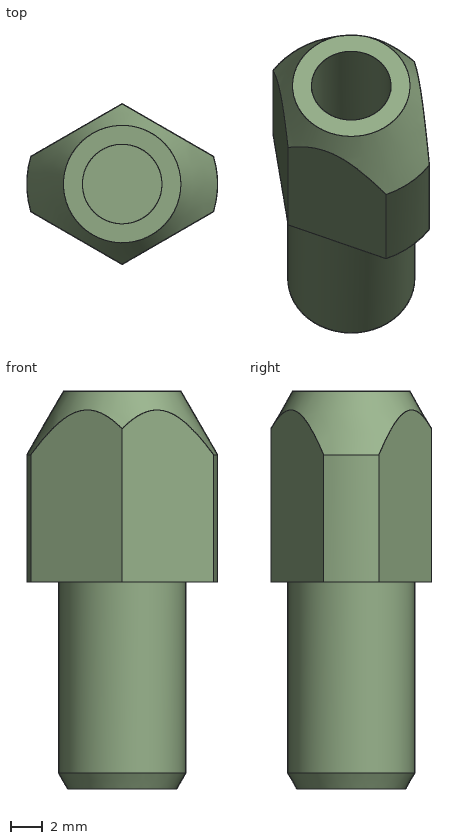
import cadquery as cq
import math

total_height = 25.0
shank_radius = 4.0
shank_length = 13.0
shank_chamfer_height = 1.0
head_radius = 6.0
head_cone_height = 4.0
taper_angle = math.radians(30)
flats_width = 8.75
flat_angle = math.radians(30)
bore_radius = 2.5
bore_depth = 10.0

shank_tip_radius = shank_radius - shank_chamfer_height * math.tan(taper_angle)
head_top_radius = head_radius - head_cone_height * math.tan(taper_angle)


def make_turned_body():
    """Round shank and cone-topped head, revolved about Z."""
    profile = [
        (0, 0),
        (shank_tip_radius, 0),
        (shank_radius, shank_chamfer_height),
        (shank_radius, shank_length),
        (head_radius, shank_length),
        (head_radius, total_height - head_cone_height),
        (head_top_radius, total_height),
        (0, total_height),
    ]
    return cq.Workplane("XZ").polyline(profile).close().revolve(360, (0, 0), (0, 1))


def make_flats_prism():
    """Full-height rhombic prism whose four sides are the wrench flats."""
    corner_x = flats_width / 2 / math.sin(flat_angle)
    corner_y = flats_width / 2 / math.cos(flat_angle)
    corners = [(corner_x, 0), (0, corner_y), (-corner_x, 0), (0, -corner_y)]
    return cq.Workplane("XY").polyline(corners).close().extrude(total_height)


def make_bore():
    """Blind, flat-bottomed bore from the top face."""
    bore_floor = total_height - bore_depth
    return cq.Workplane("XY").workplane(offset=bore_floor).circle(bore_radius).extrude(bore_depth)


result = make_turned_body().intersect(make_flats_prism()).cut(make_bore())